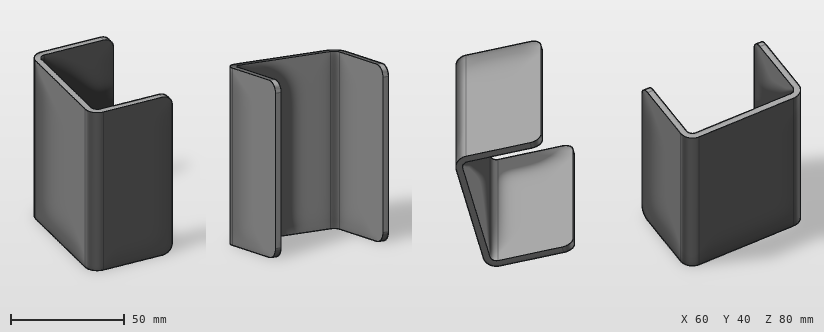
import cadquery as cq

width = 60.0
depth = 40.0
height = 80.0

outer_bend_radius = 6.0
thickness = outer_bend_radius / 2
inner_bend_radius = outer_bend_radius - thickness

corner_radius = 5.0


def rounded_block(block_width, block_depth, bend_radius):
    """Full-height block with rounded front vertical edges, flush with the open back."""
    return (
        cq.Workplane("XY")
        .box(block_width, block_depth, height)
        .translate((0, (depth - block_depth) / 2, 0))
        .edges("|Z and <Y")
        .fillet(bend_radius)
    )


outside = rounded_block(width, depth, outer_bend_radius)
inside = rounded_block(width - 2 * thickness, depth - thickness, inner_bend_radius)
channel = outside.cut(inside)

result = channel.faces(">Y").edges("|X").fillet(corner_radius)